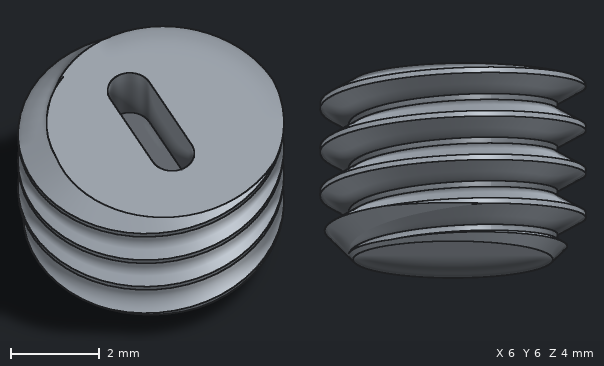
import cadquery as cq
import math

major_diameter = 6.0
height = major_diameter * 2 / 3
major_radius = major_diameter / 2

pitch = major_diameter / 6
root_radius = 2.36
crest_width = pitch / 8
flank_angle = 30.0
crest_height_at_x = 0.83
root_overlap = 0.03

tip_radius = 2.255
cutter_margin = 0.3

slot_length = major_diameter / 2
slot_width = major_diameter / 6
slot_depth = 1.5


def thread_ridge():
    """Helical ridge, run past both ends of the screw and trimmed flat there."""
    extra_turns = 2
    start_z = crest_height_at_x - extra_turns * pitch
    length = height + (extra_turns + 1) * pitch
    base_radius = root_radius - root_overlap
    half_crest = crest_width / 2
    flank_rise = (major_radius - base_radius) * math.tan(math.radians(flank_angle))
    half_base = half_crest + flank_rise
    section_plane = cq.Plane(origin=(0, 0, 0), xDir=(1, 0, 0), normal=(0, 1, 0))
    profile = cq.Workplane(section_plane).polyline([
        (base_radius, -half_base),
        (major_radius, -half_crest),
        (major_radius, half_crest),
        (base_radius, half_base),
    ]).close()
    path = cq.Workplane(obj=cq.Wire.makeHelix(pitch, length, root_radius))
    ridge = profile.sweep(path, isFrenet=True).translate((0, 0, start_z))
    slab = cq.Workplane("XY").rect(2 * major_diameter, 2 * major_diameter).extrude(height)
    return ridge.intersect(slab)


def chamfer_cutter():
    """Triangular ring outside the 45 degree cone at the bottom end."""
    reach = major_radius - tip_radius + cutter_margin
    outer_radius = tip_radius + reach
    return (
        cq.Workplane("XZ")
        .polyline([
            (tip_radius - cutter_margin, -cutter_margin),
            (outer_radius, -cutter_margin),
            (outer_radius, reach),
        ])
        .close()
        .revolve(360, (0, 0, 0), (0, 1, 0))
    )


def driver_slot():
    return (
        cq.Workplane("XY", origin=(0, 0, height))
        .slot2D(slot_length, slot_width)
        .extrude(-slot_depth)
    )


core = cq.Workplane("XY").circle(root_radius).extrude(height)
threaded_rod = thread_ridge().union(core)
result = threaded_rod.cut(chamfer_cutter()).cut(driver_slot())